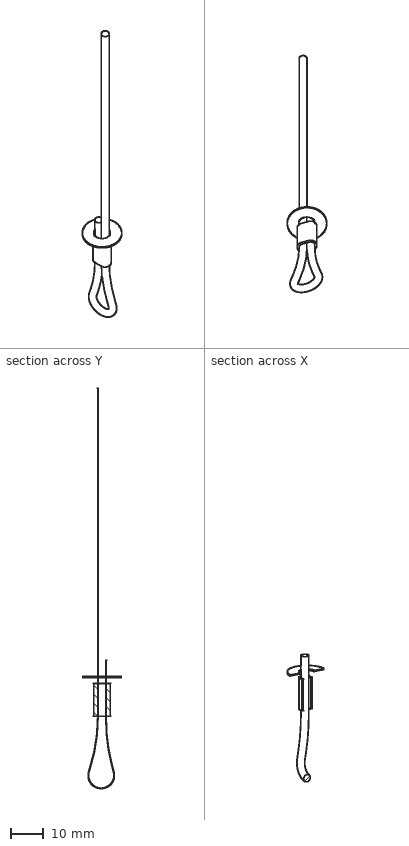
import cadquery as cq
import math

WIRE_DIAMETER = 2.5
WIRE_TOP = 123.0
STUB_TOP = 40.2
STRAND_GAP = 0.05
STRAND_X = (WIRE_DIAMETER + STRAND_GAP) / 2
EYE_RADIUS = 3.9
EYE_X = 0.2
EYE_Z = EYE_RADIUS + WIRE_DIAMETER / 2
BEND_RADIUS = 51.7
STUB_BEND_ANGLE = 14.2
LONG_BEND_ANGLE = 17.8

SLEEVE_LENGTH = 6.2
SLEEVE_WIDTH = 3.8
SLEEVE_BOTTOM = 23.1
SLEEVE_HEIGHT = 10.1

WASHER_DIAMETER = 12.0
WASHER_HOLE = 5.0
WASHER_THICKNESS = 0.5
WASHER_BOTTOM = 35.0


def strand_points(side, angle_degrees):
    """Centre-line points (X, Z) from strand to eye; side is -1 or +1 along X.

    Returns the bend's start, middle and end, then the eye's tangent point.
    A straight leg joins the bend to the eye, tangent to both.
    """
    angle = math.radians(angle_degrees)
    tangent_out = side * EYE_X + EYE_RADIUS * math.cos(angle)
    tangent_z = EYE_Z + EYE_RADIUS * math.sin(angle)
    bend_out = STRAND_X + BEND_RADIUS * (1 - math.cos(angle))
    leg = (tangent_out - bend_out) / math.sin(angle)
    bend_end_z = tangent_z + leg * math.cos(angle)
    bend_start_z = bend_end_z + BEND_RADIUS * math.sin(angle)
    middle_out = STRAND_X + BEND_RADIUS * (1 - math.cos(angle / 2))
    middle_z = bend_start_z - BEND_RADIUS * math.sin(angle / 2)
    return (
        (side * STRAND_X, bend_start_z),
        (side * middle_out, middle_z),
        (side * bend_out, bend_end_z),
        (side * tangent_out, tangent_z),
    )


def make_wire():
    stub_start, stub_middle, stub_end, stub_tangent = strand_points(-1, STUB_BEND_ANGLE)
    long_start, long_middle, long_end, long_tangent = strand_points(1, LONG_BEND_ANGLE)
    path = (
        cq.Workplane("XZ")
        .moveTo(-STRAND_X, STUB_TOP)
        .lineTo(*stub_start)
        .threePointArc(stub_middle, stub_end)
        .lineTo(*stub_tangent)
        .threePointArc((EYE_X, EYE_Z - EYE_RADIUS), long_tangent)
        .lineTo(*long_end)
        .threePointArc(long_middle, long_start)
        .lineTo(STRAND_X, WIRE_TOP)
    )
    section = cq.Workplane("XY", origin=(-STRAND_X, 0, STUB_TOP)).circle(WIRE_DIAMETER / 2)
    return section.sweep(path)


def make_sleeve():
    slot_length = 2 * STRAND_X + WIRE_DIAMETER
    base = cq.Workplane("XY", origin=(0, 0, SLEEVE_BOTTOM))
    outer = base.slot2D(SLEEVE_LENGTH, SLEEVE_WIDTH).extrude(SLEEVE_HEIGHT)
    slot = base.slot2D(slot_length, WIRE_DIAMETER).extrude(SLEEVE_HEIGHT)
    return outer.cut(slot)


def make_washer():
    return (
        cq.Workplane("XY", origin=(0, 0, WASHER_BOTTOM))
        .circle(WASHER_DIAMETER / 2)
        .circle(WASHER_HOLE / 2)
        .extrude(WASHER_THICKNESS)
    )


wire = make_wire()
sleeve = make_sleeve()
washer = make_washer()

result = cq.Compound.makeCompound([wire.val(), sleeve.val(), washer.val()])